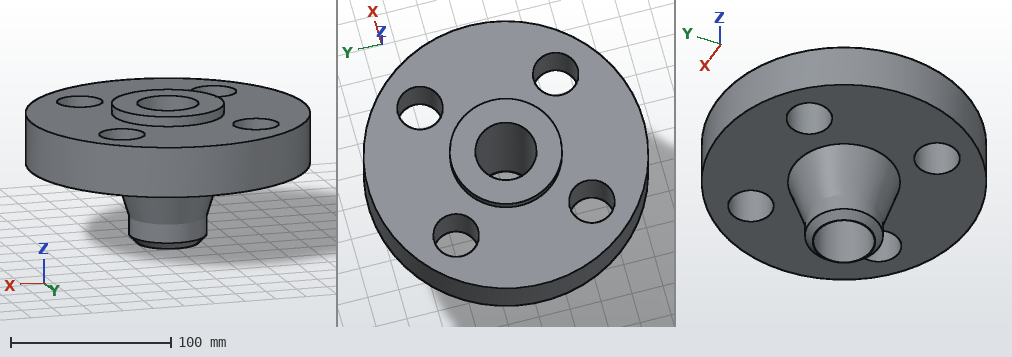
import cadquery as cq

flange_diameter = 177.8
flange_thickness = 32.0
face_diameter = 70.0
face_height = 6.2
hub_diameter = 70.0
neck_diameter = 48.7
bore_diameter = 38.2
weld_end_diameter = 39.1
overall_height = 88.9
bevel_height = 5.0
neck_height = 12.0
bolt_hole_diameter = 28.5
bolt_circle_diameter = 124.0
bolt_count = 4
first_bolt_angle = 45.0

neck_top = bevel_height + neck_height
flange_top = overall_height - face_height
flange_bottom = flange_top - flange_thickness


def flange_body():
    """Solid of revolution: bevelled neck, tapered hub, flange and raised face."""
    half_profile = [
        (0, 0),
        (weld_end_diameter / 2, 0),
        (neck_diameter / 2, bevel_height),
        (neck_diameter / 2, neck_top),
        (hub_diameter / 2, flange_bottom),
        (flange_diameter / 2, flange_bottom),
        (flange_diameter / 2, flange_top),
        (face_diameter / 2, flange_top),
        (face_diameter / 2, overall_height),
        (0, overall_height),
    ]
    return cq.Workplane("XZ").polyline(half_profile).close().revolve(360, (0, 0), (0, 1))


def bore():
    """Through bore on the flange axis."""
    return cq.Workplane("XY").circle(bore_diameter / 2).extrude(overall_height)


def bolt_holes():
    """Ring of through holes straddling the X and Y axes."""
    return (
        cq.Workplane("XY")
        .polarArray(bolt_circle_diameter / 2, first_bolt_angle, 360, bolt_count)
        .circle(bolt_hole_diameter / 2)
        .extrude(overall_height)
    )


result = flange_body().cut(bore()).cut(bolt_holes())